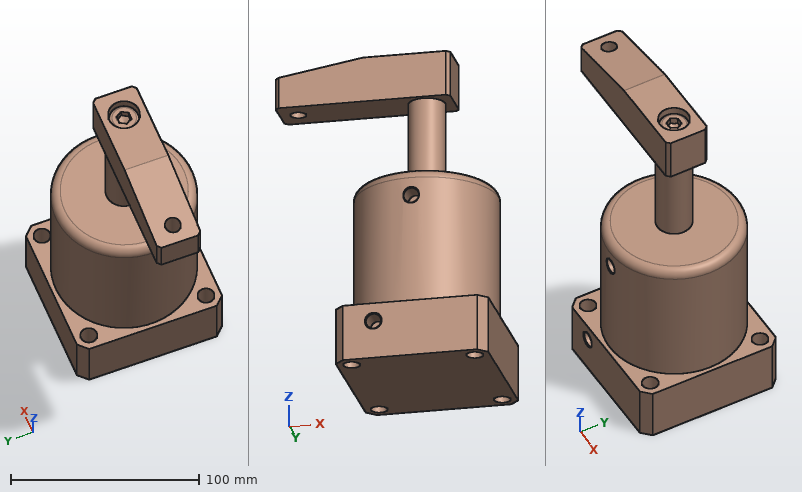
import cadquery as cq
import math


base_size = 83.0
base_height = 31.0
base_chamfer = 5.0
barrel_diameter = 78.0
housing_height = 107.0
barrel_fillet = 5.0
bolt_spacing = 67.0
bolt_hole_diameter = 9.0

port_diameter = 8.2
port_mouth_diameter = 9.2
port_depth = 12.0
port_a_height = 92.0
port_b_x = -20.0
port_b_height = 21.0

total_height = 183.0
arm_thickness = 25.0
arm_width = 25.0
arm_back_x = 15.0
arm_tip_x = -80.0
slope_start_x = -32.0
arm_tip_height = 17.0
arm_chamfer = 2.0
tip_hole_x = -70.0
tip_hole_diameter = 8.5

rod_diameter = 20.0

head_diameter = 16.0
head_height = 10.0
head_fillet = 1.5
head_recess = 3.0
counterbore_diameter = 17.0
shank_diameter = 10.0
thread_engagement = 15.0
socket_flats = 7.0
socket_depth = 3.5
drill_point_angle = 120.0

arm_bottom = total_height - arm_thickness
arm_length = arm_back_x - arm_tip_x
arm_middle_x = (arm_back_x + arm_tip_x) / 2
head_top = total_height - head_recess
head_seat = head_top - head_height
screw_end = arm_bottom - thread_engagement


def cylinder(diameter, bottom, top):
    """Vertical cylinder on the Z axis."""
    return cq.Workplane("XY").workplane(offset=bottom).circle(diameter / 2).extrude(top - bottom)


def make_port(x, face_y, z):
    """Cutter for a flat-bottomed port entering along +Y, with a 45 degree mouth chamfer."""
    port_radius = port_diameter / 2
    mouth_radius = port_mouth_diameter / 2
    chamfer = mouth_radius - port_radius
    profile = [
        (0, 0),
        (mouth_radius, 0),
        (port_radius, chamfer),
        (port_radius, port_depth),
        (0, port_depth),
    ]
    cutter = cq.Workplane("XY").polyline(profile).close().revolve(360, (0, 0, 0), (0, 1, 0))
    return cutter.translate((x, face_y, z))


def make_housing():
    base = cq.Workplane("XY").rect(base_size, base_size).extrude(base_height)
    base = base.edges("|Z").chamfer(base_chamfer)
    bolt_holes = (
        cq.Workplane("XY")
        .rect(bolt_spacing, bolt_spacing, forConstruction=True)
        .vertices()
        .circle(bolt_hole_diameter / 2)
        .extrude(base_height)
    )
    barrel = cylinder(barrel_diameter, base_height, housing_height)
    barrel = barrel.faces(">Z").edges().fillet(barrel_fillet)
    port_a = make_port(0, -barrel_diameter / 2, port_a_height)
    port_b = make_port(port_b_x, -base_size / 2, port_b_height)
    return base.cut(bolt_holes).union(barrel).cut(port_a).cut(port_b)


def make_rod():
    rod = cylinder(rod_diameter, housing_height, arm_bottom)
    return rod.cut(cylinder(shank_diameter, screw_end, arm_bottom))


def make_arm():
    bar = (
        cq.Workplane("XY", origin=(arm_middle_x, 0, arm_bottom))
        .rect(arm_length, arm_width)
        .extrude(arm_thickness)
        .edges("|Z")
        .chamfer(arm_chamfer)
    )
    slope_wedge = (
        cq.Workplane("XZ")
        .moveTo(slope_start_x, total_height)
        .lineTo(arm_tip_x, total_height)
        .lineTo(arm_tip_x, arm_bottom + arm_tip_height)
        .close()
        .extrude(arm_width / 2, both=True)
    )
    tip_hole = cylinder(tip_hole_diameter, arm_bottom, total_height).translate((tip_hole_x, 0, 0))
    screw_hole = cylinder(shank_diameter, arm_bottom, total_height)
    counterbore = cylinder(counterbore_diameter, head_seat, total_height)
    return bar.cut(slope_wedge).cut(tip_hole).cut(screw_hole).cut(counterbore)


def make_screw():
    head = cylinder(head_diameter, head_seat, head_top)
    head = head.faces(">Z").edges().fillet(head_fillet)
    shank = cylinder(shank_diameter, screw_end, head_seat)

    socket_radius = socket_flats / math.sqrt(3)
    point_depth = socket_radius / math.tan(math.radians(drill_point_angle / 2))
    socket_floor = head_top - socket_depth
    drill = (
        cq.Workplane("XZ")
        .moveTo(0, head_top)
        .lineTo(socket_radius, head_top)
        .lineTo(socket_radius, socket_floor)
        .lineTo(0, socket_floor - point_depth)
        .close()
        .revolve(360, (0, 0, 0), (0, 1, 0))
    )
    hexagon = (
        cq.Workplane("XY", origin=(0, 0, head_top))
        .polygon(6, 2 * socket_radius)
        .extrude(-(socket_depth + point_depth))
    )
    return head.union(shank).cut(hexagon.intersect(drill))


housing = make_housing()
rod = make_rod()
arm = make_arm()
screw = make_screw()

result = cq.Compound.makeCompound([housing.val(), rod.val(), arm.val(), screw.val()])